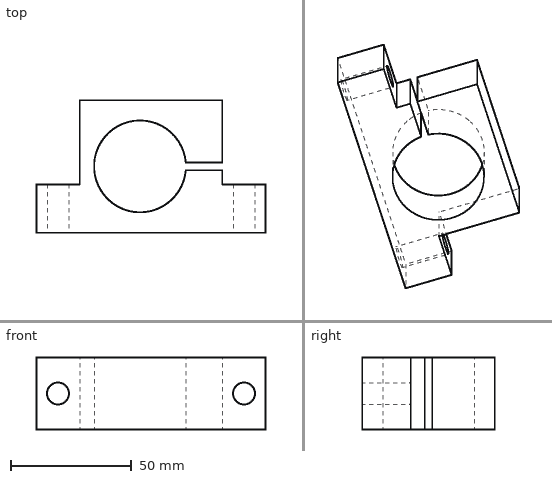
import cadquery as cq

base_length = 95.0
base_width = 20.0
thickness = 30.0

total_width = 55.0
block_length = 59.3

bore_diameter = 38.0
bore_x = -4.6
bore_y = 27.55
slot_width = 3.0

mount_hole_diameter = 9.0
mount_hole_x = (base_length + block_length) / 4


def make_body():
    """Base and clamp block, front face on Y = 0 and bottom on Z = 0."""
    base = cq.Workplane("XY").box(base_length, base_width, thickness, centered=(True, False, False))
    block = cq.Workplane("XY").box(block_length, total_width, thickness, centered=(True, False, False))
    return base.union(block)


def make_bore():
    return cq.Workplane("XY").center(bore_x, bore_y).circle(bore_diameter / 2).extrude(thickness)


def make_slot():
    """Slot from the bore axis out through the +X side of the block."""
    slot_length = block_length / 2 - bore_x
    return (
        cq.Workplane("XY")
        .box(slot_length, slot_width, thickness, centered=(False, True, False))
        .translate((bore_x, bore_y, 0))
    )


def make_mount_holes():
    return (
        cq.Workplane("XZ")
        .pushPoints([(side * mount_hole_x, thickness / 2) for side in (-1, 1)])
        .circle(mount_hole_diameter / 2)
        .extrude(-base_width)
    )


result = make_body().cut(make_bore()).cut(make_slot()).cut(make_mount_holes())